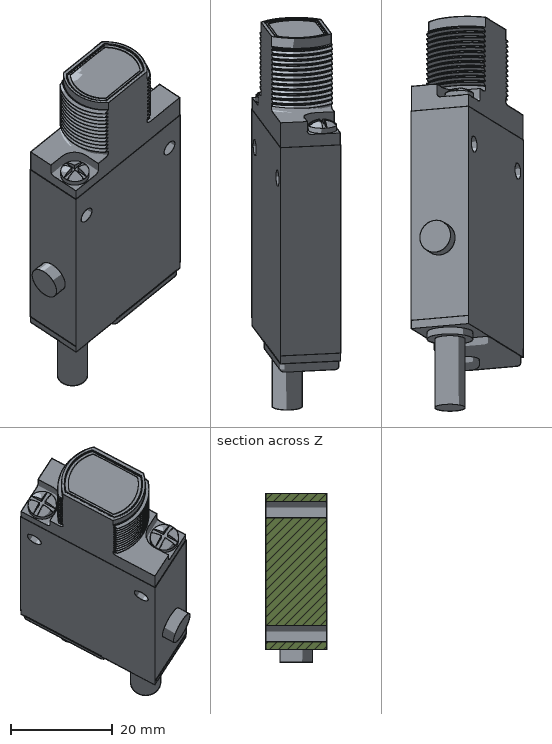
import cadquery as cq

width = 12.09
body_length = 30.75
total_length = 33.27
total_height = 79.43

body_top = 44.0
cap_top = 49.05
cap_width = 12.0
cap_inset = 0.1
base_strip_height = 1.65
base_strip_inset = 0.1

mount_hole_dia = 3.15
mount_hole_y = 12.2
mount_hole_z = 37.0

button_dia = 6.45
button_z = 17.6
button_length = total_length - body_length

neck_top = 64.16
core_radius = 8.25
thread_radius = 9.0
thread_root_radius = 8.35
thread_pitch = 1.0
thread_bottom = 50.15
thread_top = 62.15
thread_crest_flat = 0.1
thread_root_flat = 0.12
thread_start_z = 48.35
neck_foot_fillet = 0.7

lens_recess_radius = 7.7
lens_recess_half_width = 5.3
lens_gap = 0.17
lens_recess_depth = 0.4
lens_dome_radius = 6.9
lens_dome_half_width = 4.7
lens_sphere_radius = 80.0
lens_ledge_drop = 0.15

screw_x = 2.95
screw_y = 12.2
screw_dia = 5.6
screw_side_height = 1.05
screw_head_height = 2.1
screw_slot_width = 0.85
pocket_depth = 2.65
pocket_inner_x = 0.63
pocket_inner_y = 8.7
pocket_corner_radius = 3.35
pocket_floor_radius = 0.75

plate_width = 11.8
plate_length = 18.9
plate_gap = 0.3
plate_thickness = 1.9
plate_corner_radius = 1.05
plate_edge_radius = 0.6
plate_screw_dia = 5.65
plate_screw_x = -2.6
plate_screw_y = 5.65
plate_screw_height = 1.7
plate_screw_edge_radius = 0.7

cable_dia = 6.0
cable_y = -9.64
collar_dia = 9.0
collar_thickness = 1.4
cable_length = total_height - neck_top

half_length = body_length / 2
overlap = 0.5


def block(x_size, y_min, y_max, z_min, z_max):
    """Box centred on X, between the given Y and Z limits."""
    return (
        cq.Workplane("XY")
        .box(x_size, y_max - y_min, z_max - z_min, centered=(True, False, False))
        .translate((0, y_min, z_min))
    )


def cylinder(radius, z_min, z_max, x=0, y=0):
    """Upright cylinder between two heights."""
    return cq.Workplane("XY", origin=(x, y, z_min)).circle(radius).extrude(z_max - z_min)


def flatted_disc(radius, half_width, z_min, z_max):
    """Cylinder with two flats facing +X and -X."""
    return cylinder(radius, z_min, z_max).intersect(block(2 * half_width, -radius, radius, z_min, z_max))


def make_body():
    strip_half = half_length - base_strip_inset
    strip = block(width, -strip_half, strip_half, 0, base_strip_height)
    main = block(width, -half_length, half_length, base_strip_height, body_top)
    cap_half = half_length - cap_inset
    cap = block(cap_width, -cap_half, cap_half, body_top, cap_top)
    return strip.union(main).union(cap)


def mounting_holes():
    return (
        cq.Workplane("YZ")
        .pushPoints([(-mount_hole_y, mount_hole_z), (mount_hole_y, mount_hole_z)])
        .circle(mount_hole_dia / 2)
        .extrude(width, both=True)
    )


def make_button():
    return (
        cq.Workplane("XZ", origin=(0, -half_length + overlap, button_z))
        .circle(button_dia / 2)
        .extrude(button_length + overlap)
    )


def thread_groove():
    """Helical V cutter that reaches past both ends of the thread."""
    helix_height = thread_top + thread_pitch - thread_start_z
    depth = thread_radius - thread_root_radius
    outside = 0.1
    crest_half = (thread_pitch - thread_crest_flat) / 2
    root_half = thread_root_flat / 2
    outer_half = crest_half + outside * (crest_half - root_half) / depth
    outer_radius = thread_radius + outside
    corners = (
        (thread_root_radius, -root_half),
        (outer_radius, -outer_half),
        (outer_radius, outer_half),
        (thread_root_radius, root_half),
    )
    helices = [
        cq.Wire.makeHelix(thread_pitch, helix_height, radius, cq.Vector(0, 0, thread_start_z + offset))
        for radius, offset in corners
    ]
    next_helices = helices[1:] + helices[:1]
    faces = [cq.Face.makeRuledSurface(first, second) for first, second in zip(helices, next_helices)]
    starts = [helix.startPoint() for helix in helices]
    ends = [helix.endPoint() for helix in helices]
    for end_section in (starts, ends):
        faces.append(cq.Face.makeFromWires(cq.Wire.makePolygon(end_section, close=True)))
    return cq.Workplane("XY").add(cq.Solid.makeSolid(cq.Shell.makeShell(faces)))


def make_neck():
    core = cylinder(core_radius, cap_top - overlap, neck_top)
    thread = cylinder(thread_radius, thread_bottom, thread_top).cut(thread_groove())
    foot_profile = (
        cq.Workplane("XZ", origin=(0, 0, cap_top))
        .moveTo(0, 0)
        .lineTo(core_radius + neck_foot_fillet, 0)
        .radiusArc((core_radius, neck_foot_fillet), neck_foot_fillet)
        .lineTo(0, neck_foot_fillet)
        .close()
    )
    foot = foot_profile.revolve(360, (0, 0), (0, 1))
    neck = core.union(thread).union(foot)
    return neck.intersect(block(cap_width, -thread_radius, thread_radius, cap_top - overlap, neck_top))


def lens_recess():
    return flatted_disc(
        lens_recess_radius, lens_recess_half_width, neck_top - lens_recess_depth, neck_top
    )


def make_lens():
    """Lens block with a flat ledge and a shallow dome that peaks level with the rim."""
    bottom = neck_top - lens_recess_depth - overlap
    ledge_z = neck_top - lens_ledge_drop
    ledge = flatted_disc(
        lens_recess_radius - lens_gap, lens_recess_half_width - lens_gap, bottom, ledge_z
    )
    dome_well = flatted_disc(lens_dome_radius, lens_dome_half_width, bottom, neck_top)
    sphere = cq.Workplane("XY", origin=(0, 0, neck_top - lens_sphere_radius)).sphere(lens_sphere_radius)
    return ledge.cut(dome_well).union(dome_well.intersect(sphere))


def screw_pocket():
    """Pocket in the -X, +Y corner of the cap, open towards both outer faces."""
    reach = 2 * pocket_corner_radius
    x_min = -width / 2 - reach
    y_max = half_length + reach
    return (
        cq.Workplane("XY", origin=(0, 0, cap_top - pocket_depth))
        .moveTo(x_min, pocket_inner_y)
        .lineTo(pocket_inner_x, pocket_inner_y)
        .lineTo(pocket_inner_x, y_max)
        .lineTo(x_min, y_max)
        .close()
        .extrude(pocket_depth)
        .edges("|Z and >X and <Y")
        .fillet(pocket_corner_radius)
        .faces("<Z")
        .edges()
        .fillet(pocket_floor_radius)
    )


def cap_screw():
    """Screw head on the pocket floor, its dome cross-slotted down to the rim."""
    radius = screw_dia / 2
    profile = (
        cq.Workplane("XZ")
        .moveTo(0, -overlap)
        .lineTo(radius, -overlap)
        .lineTo(radius, screw_side_height)
    )
    dome_rise = screw_head_height - screw_side_height
    sphere_radius = (radius**2 + dome_rise**2) / (2 * dome_rise)
    head = profile.radiusArc((0, screw_head_height), -sphere_radius).close().revolve(360, (0, 0), (0, 1))
    for slot_x, slot_y in ((screw_dia, screw_slot_width), (screw_slot_width, screw_dia)):
        slot_base = cq.Workplane("XY", origin=(0, 0, screw_side_height))
        slot = slot_base.rect(slot_x, slot_y).extrude(dome_rise)
        head = head.cut(slot)
    return head.translate((-screw_x, screw_y, cap_top - pocket_depth))


def make_plate():
    y_max = half_length - plate_gap
    plate = (
        block(plate_width, y_max - plate_length, y_max, -plate_thickness, overlap)
        .edges("|Z")
        .fillet(plate_corner_radius)
        .faces("<Z")
        .edges()
        .fillet(plate_edge_radius)
    )
    screw_bottom = -plate_thickness - plate_screw_height
    screw = (
        cylinder(plate_screw_dia / 2, screw_bottom, -plate_thickness + overlap, plate_screw_x, plate_screw_y)
        .faces("<Z")
        .edges()
        .fillet(plate_screw_edge_radius)
    )
    return plate.union(screw)


def make_cable():
    collar = cylinder(collar_dia / 2, -collar_thickness, overlap, 0, cable_y)
    return collar.union(cylinder(cable_dia / 2, -cable_length, overlap, 0, cable_y))


result = make_body().cut(mounting_holes())
for turn in (0, 180):
    result = result.cut(screw_pocket().rotate((0, 0, 0), (0, 0, 1), turn))
    result = result.union(cap_screw().rotate((0, 0, 0), (0, 0, 1), turn))
result = result.union(make_neck().cut(lens_recess()).union(make_lens()))
result = result.union(make_button()).union(make_plate()).union(make_cable())